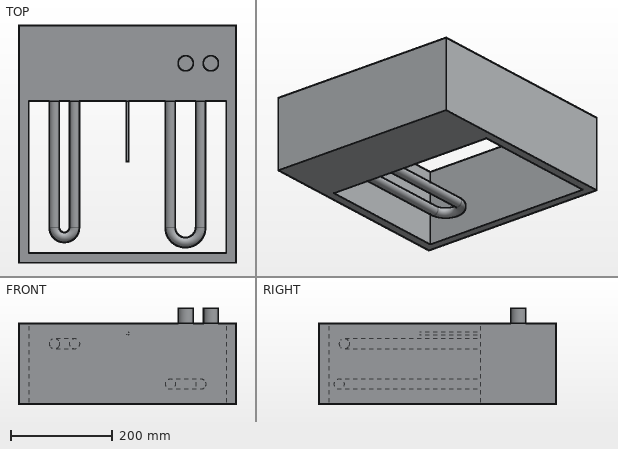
import cadquery as cq

length = 470.0
width = 430.0
body_height = 160.0
wall = 19.7
rear_depth = 150.0
opening_width = width - 2 * wall
opening_length = length - rear_depth - wall
rear_face_y = length / 2 - rear_depth

knob_diameter = 30.0
knob_height = 30.0
knob_spacing = 50.0
knob_mid_x = 140.0
knob_y = length / 2 - 75.0

tube_diameter = 20.0
tube_straight = 250.0
small_loop_height = 120.0
large_loop_height = 40.0
small_loop_x = -125.0
small_loop_spacing = 40.0
large_loop_x = 114.5
large_loop_spacing = 60.0
rod_diameter = 5.5
rod_length = 120.0
rod_height = 140.0
embed = 4.5


def make_housing():
    body = cq.Workplane("XY").box(width, length, body_height, centered=(True, True, False))
    opening = (
        cq.Workplane("XY")
        .center(0, rear_face_y - opening_length / 2)
        .rect(opening_width, opening_length)
        .extrude(body_height)
    )
    return body.cut(opening)


def make_knobs():
    half = knob_spacing / 2
    return (
        cq.Workplane("XY", origin=(knob_mid_x, knob_y, body_height - embed))
        .pushPoints([(-half, 0), (half, 0)])
        .circle(knob_diameter / 2)
        .extrude(knob_height + embed)
    )


def make_loop(center_x, spacing, height):
    """U-shaped horizontal tube with both ends in the rear block."""
    radius = spacing / 2
    start_y = rear_face_y + embed
    bend_y = rear_face_y - tube_straight
    path = (
        cq.Workplane("XY", origin=(center_x, 0, height))
        .moveTo(-radius, start_y)
        .lineTo(-radius, bend_y)
        .threePointArc((0, bend_y - radius), (radius, bend_y))
        .lineTo(radius, start_y)
    )
    section = cq.Workplane("XZ", origin=(center_x - radius, start_y, height))
    return section.circle(tube_diameter / 2).sweep(path)


def make_rod():
    section = cq.Workplane("XZ", origin=(0, rear_face_y + embed, rod_height))
    return section.circle(rod_diameter / 2).extrude(rod_length + embed)


result = (
    make_housing()
    .union(make_knobs())
    .union(make_loop(small_loop_x, small_loop_spacing, small_loop_height))
    .union(make_loop(large_loop_x, large_loop_spacing, large_loop_height))
    .union(make_rod())
)